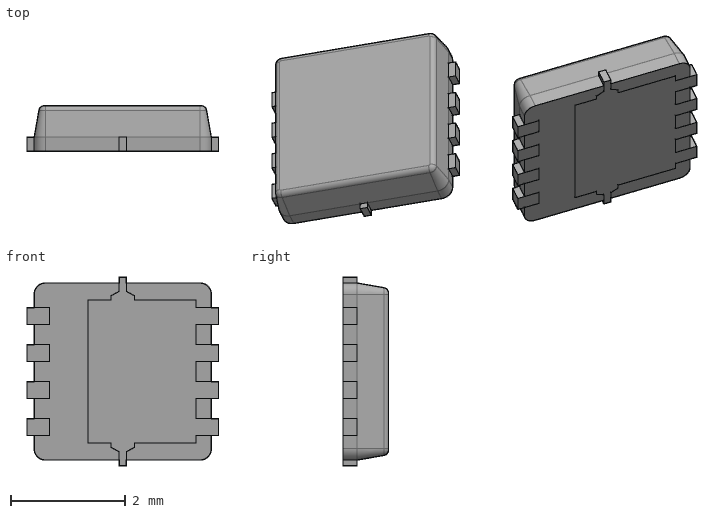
import cadquery as cq

overall_width = 3.35
overall_length = 3.3
overall_height = 0.8

housing_size = 3.1
corner_radius = 0.2
draft_angle = 10.0
crown_fillet = 0.1

frame_thickness = 0.25
lead_width = 0.298
lead_length = 0.4
lead_pitch = 0.645
leads_per_side = 4

pad_width = 1.88
pad_length = 2.5
tie_bar_width = 0.13
tie_base_width = 0.402
tie_base_height = 0.077
tie_taper_height = 0.075

lead_inner_x = overall_width / 2 - lead_length
lead_heights = [(i - (leads_per_side - 1) / 2) * lead_pitch for i in range(leads_per_side)]


def plane_at(y):
    """XZ plane at height y, with its normal along +Y and its local axes along -X and +Z."""
    return cq.Plane(origin=(0, y, 0), xDir=(-1, 0, 0), normal=(0, 1, 0))


def make_bar(x_start, x_end, z_start, z_end):
    """Rectangular bar of lead frame thickness, resting on the mounting face."""
    return cq.Workplane("XY").box(
        x_end - x_start, frame_thickness, z_end - z_start, centered=False
    ).translate((x_start, 0, z_start))


def make_source_lead(z):
    """Separate lead on the -X side."""
    return make_bar(-overall_width / 2, -lead_inner_x, z - lead_width / 2, z + lead_width / 2)


def make_tie_bar():
    """Tie bar on the +Z end of the pad: a wide base that tapers into a narrow bar."""
    base_z = pad_length / 2
    shoulder_z = base_z + tie_base_height
    neck_z = shoulder_z + tie_taper_height
    half_base = tie_base_width / 2
    half_bar = tie_bar_width / 2
    right_side = [
        (half_base, base_z),
        (half_base, shoulder_z),
        (half_bar, neck_z),
        (half_bar, overall_length / 2),
    ]
    left_side = [(-x, z) for x, z in reversed(right_side)]
    profile = cq.Workplane(plane_at(0)).polyline(right_side + left_side).close()
    return profile.extrude(frame_thickness)


def make_drain_pad():
    """Exposed pad in one piece with its +X leads and both tie bars."""
    pad = make_bar(lead_inner_x - pad_width, lead_inner_x, -pad_length / 2, pad_length / 2)
    for z in lead_heights:
        lead = make_bar(lead_inner_x, overall_width / 2, z - lead_width / 2, z + lead_width / 2)
        pad = pad.union(lead)
    tie_bar = make_tie_bar()
    return pad.union(tie_bar).union(tie_bar.mirror("XY"))


def make_housing_blank():
    """Straight-sided base and drafted cap with a rounded crown, before the lead frame recesses."""
    outline = cq.Sketch().rect(housing_size, housing_size).vertices().fillet(corner_radius)
    base = cq.Workplane(plane_at(0)).placeSketch(outline).extrude(frame_thickness)
    cap_height = overall_height - frame_thickness
    cap = (
        cq.Workplane(plane_at(frame_thickness))
        .placeSketch(outline)
        .extrude(cap_height, taper=draft_angle)
        .faces(">Y")
        .edges()
        .fillet(crown_fillet)
    )
    return base.union(cap)


source_leads = [make_source_lead(z) for z in lead_heights]
drain_pad = make_drain_pad()

housing = make_housing_blank().cut(drain_pad)
for source_lead in source_leads:
    housing = housing.cut(source_lead)

result = cq.Compound.makeCompound(
    [housing.val(), drain_pad.val(), *[lead.val() for lead in source_leads]]
)